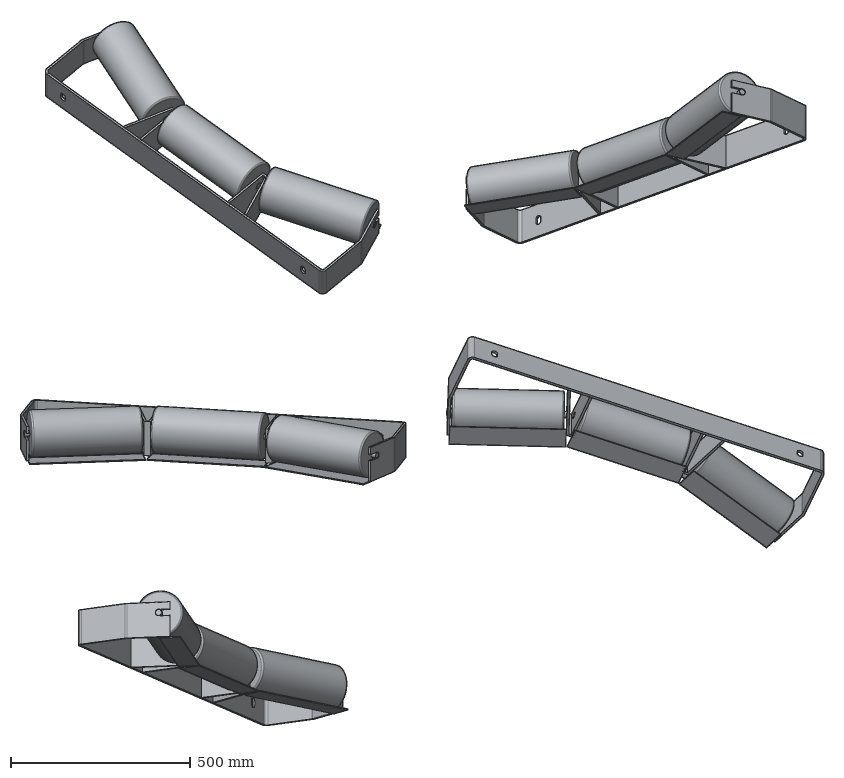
import cadquery as cq
import math

frame_length = 1070.0
bar_thickness = 6.8
bar_height = 100.0
bend_inner_radius = 9.0
bend_outer_radius = bend_inner_radius + bar_thickness
trough_angle = 20.0
frame_kink_y = 158.0
frame_tip_y = 275.0

mount_slot_x = 459.0
mount_slot_width = 17.0
mount_slot_height = 27.0
mount_slot_z = bar_height / 2

roller_radius = 66.0
roller_length = 312.0
roller_edge_radius = 4.8
shaft_diameter = 18.0
shaft_z = 70.0
support_spacing = 335.0
shaft_length = support_spacing + bar_thickness

middle_axis_y = 126.0
side_support_x = 187.0
side_support_y = 131.0
bracket_top_y = 152.0

plate_width = 60.0
middle_plate_length = support_spacing
side_plate_length = 326.0
plate_thickness = 3.0

cos_trough = math.cos(math.radians(trough_angle))
sin_trough = math.sin(math.radians(trough_angle))
tan_trough = math.tan(math.radians(trough_angle))

side_center_x = side_support_x + support_spacing / 2 * cos_trough
side_center_y = side_support_y + support_spacing / 2 * sin_trough

roller_places = [
    (-side_center_x, side_center_y, -trough_angle),
    (0, middle_axis_y, 0),
    (side_center_x, side_center_y, trough_angle),
]


def place(body, x, y, turn):
    """Turn a body about Z and move it from the origin to (x, y)."""
    return body.rotate((0, 0, 0), (0, 0, 1), turn).translate((x, y, 0))


def make_roller():
    """Roller with its shaft, lying along X at shaft height."""
    drum = (
        cq.Workplane("YZ", origin=(-roller_length / 2, 0, shaft_z))
        .circle(roller_radius)
        .extrude(roller_length)
        .edges()
        .fillet(roller_edge_radius)
    )
    return drum.union(make_shaft())


def make_shaft():
    """Shaft that reaches through both of its support walls."""
    return (
        cq.Workplane("YZ", origin=(-shaft_length / 2, 0, shaft_z))
        .circle(shaft_diameter / 2)
        .extrude(shaft_length)
    )


def make_shaft_slot():
    """Cutter for a shaft and the open way in from its +Y side."""
    way_in = cq.Workplane("XY").box(
        shaft_length, roller_radius, shaft_diameter, centered=(True, False, True)
    )
    return make_shaft().union(way_in.translate((0, 0, shaft_z)))


def edges_near(bar, points):
    """Upright edges of a bar at the given (x, y) corners of its outline."""
    edges = bar.newObject([])
    for x, y in points:
        edges = edges.add(bar.edges(cq.selectors.NearestToPointSelector((x, y, bar_height / 2))))
    return edges


def make_frame():
    """Flat bar bent into a wide U whose tips lean inward, with shaft and mounting slots."""
    outer_x = frame_length / 2
    inner_x = outer_x - bar_thickness
    outer_tip_x = outer_x - (frame_tip_y - frame_kink_y) * tan_trough
    inner_tip_x = outer_tip_x - bar_thickness * cos_trough
    inner_tip_y = frame_tip_y - bar_thickness * sin_trough
    inner_kink_y = frame_kink_y - bar_thickness * math.tan(math.radians(trough_angle / 2))
    right_outer = [(outer_x, 0), (outer_x, frame_kink_y), (outer_tip_x, frame_tip_y)]
    right_inner = [(inner_tip_x, inner_tip_y), (inner_x, inner_kink_y), (inner_x, bar_thickness)]
    right_side = right_outer + right_inner
    left_side = [(-x, y) for x, y in reversed(right_side)]
    frame = cq.Workplane("XY").polyline(right_side + left_side).close().extrude(bar_height)

    outer_bends = [(side * x, y) for side in (-1, 1) for x, y in right_outer[:2]]
    inner_bends = [(side * x, y) for side in (-1, 1) for x, y in right_inner[1:]]
    frame = edges_near(frame, outer_bends).fillet(bend_outer_radius)
    frame = edges_near(frame, inner_bends).fillet(bend_inner_radius)

    mount_slots = (
        cq.Workplane("XZ", origin=(0, bar_thickness, mount_slot_z))
        .pushPoints([(-mount_slot_x, 0), (mount_slot_x, 0)])
        .slot2D(mount_slot_height, mount_slot_width, 90)
        .extrude(bar_thickness)
    )
    frame = frame.cut(mount_slots)
    for x, y, turn in (roller_places[0], roller_places[2]):
        frame = frame.cut(place(make_shaft_slot(), x, y, turn))
    return frame


def make_right_bracket():
    """Folded bracket: a straight wall, a leaning wall and the short web that joins them."""
    half = bar_thickness / 2
    straight_inner_x = support_spacing / 2 - half
    straight_outer_x = support_spacing / 2 + half
    lean_half = half / cos_trough
    web_y = bracket_top_y - bar_thickness

    def lean_x(y):
        return side_support_x + (side_support_y - y) * tan_trough

    outline = [
        (straight_inner_x, bar_thickness),
        (straight_inner_x, bracket_top_y),
        (lean_x(bracket_top_y) + lean_half, bracket_top_y),
        (lean_x(bar_thickness) + lean_half, bar_thickness),
        (lean_x(bar_thickness) - lean_half, bar_thickness),
        (lean_x(web_y) - lean_half, web_y),
        (straight_outer_x, web_y),
        (straight_outer_x, bar_thickness),
    ]
    bracket = cq.Workplane("XY").polyline(outline).close().extrude(bar_height)
    for x, y, turn in roller_places[1:]:
        bracket = bracket.cut(place(make_shaft(), x, y, turn))
    return bracket


def make_base_plate(length):
    """Thin plate under the +Y half of a roller, reaching below its support walls."""
    return cq.Workplane("XY").box(
        length, plate_width, plate_thickness, centered=(True, False, False)
    ).translate((0, 0, -plate_thickness))


frame = make_frame()
right_bracket = make_right_bracket()
left_bracket = right_bracket.mirror("YZ")
rollers = [place(make_roller(), *spot) for spot in roller_places]
plate_lengths = [side_plate_length, middle_plate_length, side_plate_length]
base_plates = [
    place(make_base_plate(length), *spot) for length, spot in zip(plate_lengths, roller_places)
]

bodies = [frame, left_bracket, right_bracket, *rollers, *base_plates]
result = cq.Compound.makeCompound([body.val() for body in bodies])